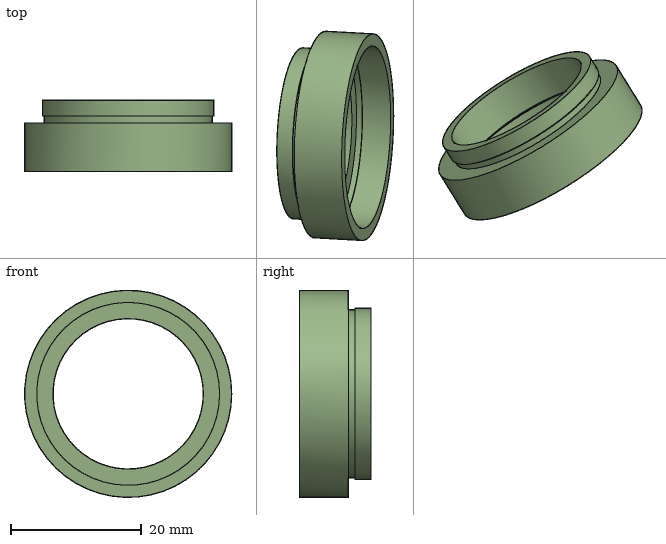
import cadquery as cq

body_diameter = 31.75
neck_diameter = 25.78
flange_diameter = 26.3
socket_diameter = 28.0
relief_diameter = 28.6
bore_diameter = 23.0

total_length = 11.0
flange_length = 2.48
neck_length = 1.02
socket_depth = 5.5
relief_length = 1.0

body_length = total_length - flange_length - neck_length


def cylinder(diameter, start, length):
    """Solid cylinder along +Y whose near face lies at Y = start."""
    plane = cq.Plane(origin=(0, start, 0), xDir=(1, 0, 0), normal=(0, 1, 0))
    return cq.Workplane(plane).circle(diameter / 2).extrude(length)


body = cylinder(body_diameter, 0, body_length)
neck = cylinder(neck_diameter, body_length, neck_length)
flange = cylinder(flange_diameter, body_length + neck_length, flange_length)

socket = cylinder(socket_diameter, 0, socket_depth)
relief = cylinder(relief_diameter, socket_depth - relief_length, relief_length)
bore = cylinder(bore_diameter, 0, total_length)

result = body.union(neck).union(flange).cut(socket).cut(relief).cut(bore)